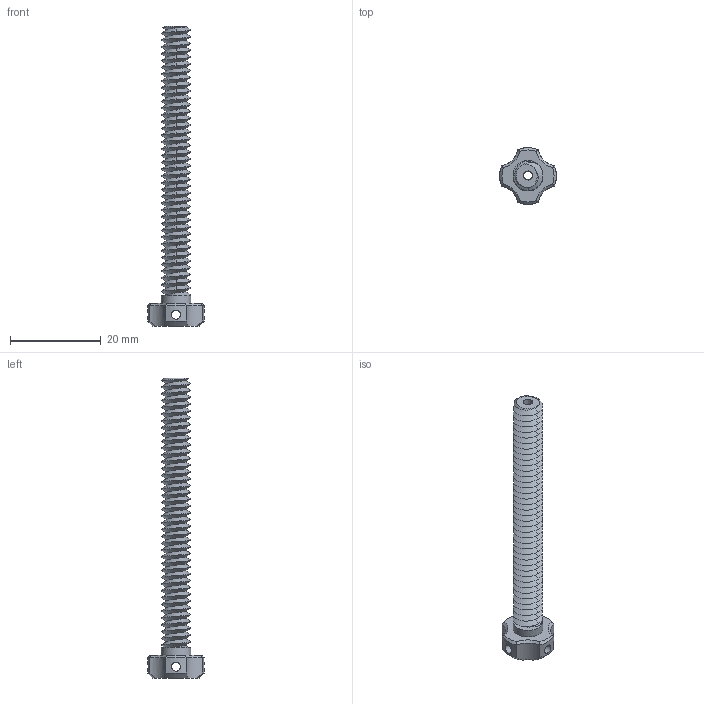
import cadquery as cq
import math

total_height = 66.25
bore_diameter = 2.0

knob_diameter = 12.5
knob_height = 5.0
lobe_count = 4
lobe_width = 4.5
scallop_radius = 4.5
top_chamfer = 0.5
bottom_chamfer_width = 1.0
bottom_chamfer_height = 1.1
cross_hole_diameter = 2.0

collar_top = 6.8

thread_diameter = 6.6
thread_pitch = 1.5
thread_angle = 60
root_diameter = 4.1
thread_start_angle = -90
first_crest_height = 6.5
core_overlap = 0.03
end_chamfer = 0.7
envelope_margin = 1.0

knob_radius = knob_diameter / 2
thread_radius = thread_diameter / 2
root_radius = root_diameter / 2
thread_length = total_height - collar_top

origin = cq.Vector(0, 0, 0)
z_axis = cq.Vector(0, 0, 1)


def cylinder(radius, bottom, height):
    """Cylinder on the Z axis, standing at the given height."""
    return cq.Workplane(origin=(0, 0, bottom)).circle(radius).extrude(height)


def revolved(profile):
    """Solid of revolution about Z from (radius, height) points."""
    return cq.Workplane("XZ").polyline(profile).close().revolve(360, (0, 0, 0), (0, 1, 0))


def make_scallop():
    """Finger scallop cutter centered on the +X side, flared to chamfer the top edge."""
    corner_along = math.sqrt(knob_radius**2 - (lobe_width / 2) ** 2)
    corner_angle = math.atan2(lobe_width / 2, corner_along)
    half_span = math.pi / lobe_count - corner_angle
    half_chord = knob_radius * math.sin(half_span)
    chord_distance = knob_radius * math.cos(half_span)
    center_distance = chord_distance + math.sqrt(scallop_radius**2 - half_chord**2)
    profile = [
        (0, 0),
        (scallop_radius, 0),
        (scallop_radius, knob_height - top_chamfer),
        (scallop_radius + top_chamfer, knob_height),
        (0, knob_height),
    ]
    return revolved(profile).translate((center_distance, 0, 0))


def make_knob():
    """Disc with chamfered rims, scallops and two crossing radial holes at mid height."""
    profile = [
        (0, 0),
        (knob_radius - bottom_chamfer_width, 0),
        (knob_radius, bottom_chamfer_height),
        (knob_radius, knob_height - top_chamfer),
        (knob_radius - top_chamfer, knob_height),
        (0, knob_height),
    ]
    knob = revolved(profile)
    scallop = make_scallop()
    for index in range(lobe_count):
        angle = (index + 0.5) * 360 / lobe_count
        knob = knob.cut(scallop.rotate(origin, z_axis, angle))
    for plane in ("XZ", "YZ"):
        hole = (
            cq.Workplane(plane)
            .center(0, knob_height / 2)
            .circle(cross_hole_diameter / 2)
            .extrude(knob_radius, both=True)
        )
        knob = knob.cut(hole)
    return knob


def helix_turn(radius, height):
    """One full turn of a helix starting on the +X side at the given height."""
    wire = cq.Wire.makeHelix(thread_pitch, thread_pitch, radius)
    return wire.Edges()[0].translate(cq.Vector(0, 0, height))


def make_thread_ridge():
    """Helical V ridge, sunk into the core and running past both ends of the threaded length."""
    base_radius = root_radius - core_overlap
    half_base = (thread_radius - base_radius) * math.tan(math.radians(thread_angle / 2))
    turns = math.ceil((total_height - first_crest_height) / thread_pitch) + 1

    crest = helix_turn(thread_radius, 0)
    lower_base = helix_turn(base_radius, -half_base)
    upper_base = helix_turn(base_radius, half_base)
    one_turn = [
        cq.Face.makeRuledSurface(lower_base, crest),
        cq.Face.makeRuledSurface(crest, upper_base),
        cq.Face.makeRuledSurface(upper_base, lower_base),
    ]

    section_corners = [
        cq.Vector(base_radius, 0, -half_base),
        cq.Vector(thread_radius, 0, 0),
        cq.Vector(base_radius, 0, half_base),
    ]
    start_cap = cq.Face.makeFromWires(cq.Wire.makePolygon(section_corners, close=True))
    end_cap = start_cap.translate(cq.Vector(0, 0, turns * thread_pitch))

    faces = [start_cap, end_cap]
    for turn in range(turns):
        rise = cq.Vector(0, 0, turn * thread_pitch)
        faces += [face.translate(rise) for face in one_turn]
    ridge = cq.Solid.makeSolid(cq.Shell.makeShell(faces)).fix()
    ridge = ridge.rotate(origin, z_axis, thread_start_angle)
    return cq.Workplane(ridge.translate(cq.Vector(0, 0, first_crest_height)))


def make_threaded_rod():
    """Threaded length, cut flat at the collar and chamfered at the free end."""
    core = cylinder(root_radius, collar_top, thread_length)
    envelope = cylinder(thread_radius + envelope_margin, collar_top, thread_length)
    envelope = envelope.faces(">Z").chamfer(end_chamfer + envelope_margin)
    return core.union(make_thread_ridge().intersect(envelope))


collar = cylinder(thread_radius, knob_height, collar_top - knob_height)
bore = cylinder(bore_diameter / 2, 0, total_height)
result = make_knob().union(collar).union(make_threaded_rod()).cut(bore)